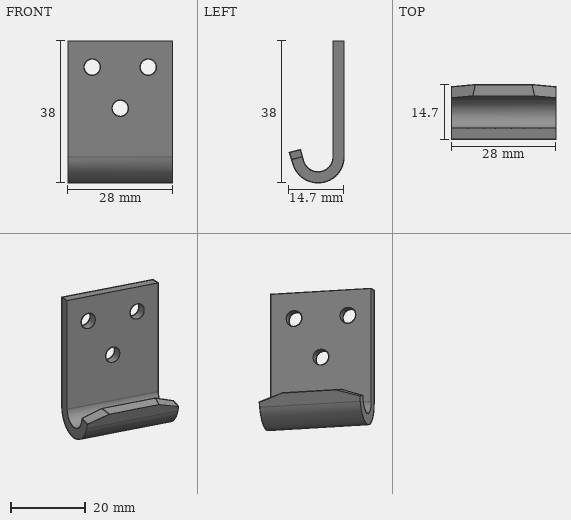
import cadquery as cq
import math

width = 28.0
height = 38.0
thickness = 3.0

outer_radius = 7.0
inner_radius = outer_radius - thickness
bend_centre = (outer_radius, outer_radius)

outer_lean = 17.3
outer_arm_length = 3.42
inner_lean = 15.0
inner_arm_length = 3.1

taper_drop = 2.0
outer_tip_half_width = 7.6
inner_tip_half_width = 8.25

hole_diameter = 4.3
upper_hole_spacing = 15.0
upper_hole_drop = 7.0
lower_hole_drop = 18.0


def bend_point(radius, angle):
    """(Y, Z) point on a bend arc; 0 degrees is towards +Y, -90 degrees is the lowest point."""
    radians = math.radians(angle)
    return (
        bend_centre[0] + radius * math.cos(radians),
        bend_centre[1] + radius * math.sin(radians),
    )


def along_arm(start, lean, distance):
    """(Y, Z) point reached from start by moving up an arm face of the given lean."""
    radians = math.radians(lean)
    return (
        start[0] + distance * math.sin(radians),
        start[1] + distance * math.cos(radians),
    )


outer_bend_end = bend_point(outer_radius, -outer_lean)
inner_bend_end = bend_point(inner_radius, -inner_lean)
outer_tip = along_arm(outer_bend_end, outer_lean, outer_arm_length)
inner_tip = along_arm(inner_bend_end, inner_lean, inner_arm_length)


def make_hook():
    """J-shaped side profile, extruded over the full width."""
    return (
        cq.Workplane("YZ")
        .moveTo(0, height)
        .lineTo(*bend_point(outer_radius, 180))
        .threePointArc(bend_point(outer_radius, -90), outer_bend_end)
        .lineTo(*outer_tip)
        .lineTo(*inner_tip)
        .lineTo(*inner_bend_end)
        .threePointArc(bend_point(inner_radius, -90), bend_point(inner_radius, 180))
        .lineTo(thickness, height)
        .close()
        .extrude(width / 2, both=True)
    )


def make_screw_holes():
    """Two upper holes side by side and one centred hole below, through the plate."""
    upper_z = height - upper_hole_drop
    lower_z = height - lower_hole_drop
    return (
        cq.Workplane("XZ")
        .pushPoints([
            (-upper_hole_spacing / 2, upper_z),
            (upper_hole_spacing / 2, upper_z),
            (0, lower_z),
        ])
        .circle(hole_diameter / 2)
        .extrude(-thickness)
    )


def taper_triangle(side, tip, lean, tip_half_width):
    """Triangle on one arm face, between the tip edge, the side edge and the sloping taper."""
    side_x = side * width / 2
    corners = [
        cq.Vector(side * tip_half_width, *tip),
        cq.Vector(side_x, *along_arm(tip, lean, -taper_drop)),
        cq.Vector(side_x, *tip),
    ]
    return cq.Wire.makePolygon(corners, close=True)


def make_tip_taper(side):
    """Corner removed from the hook tip; side is -1 for the -X end and +1 for the +X end."""
    outer_triangle = taper_triangle(side, outer_tip, outer_lean, outer_tip_half_width)
    inner_triangle = taper_triangle(side, inner_tip, inner_lean, inner_tip_half_width)
    return cq.Workplane(cq.Solid.makeLoft([outer_triangle, inner_triangle], True))


result = make_hook().cut(make_screw_holes())
for end in (-1, 1):
    result = result.cut(make_tip_taper(end))